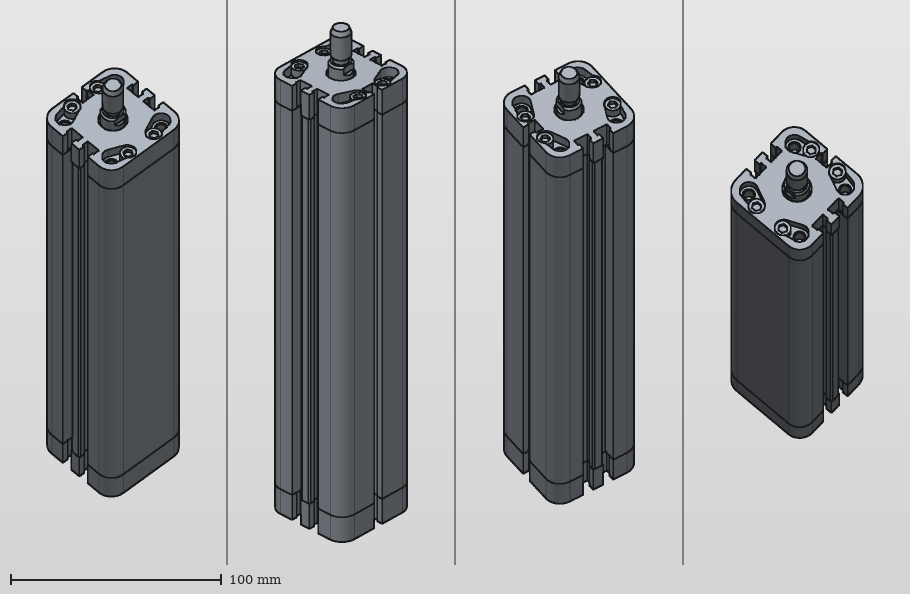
import cadquery as cq
import math

TOTAL_HEIGHT = 269.5
BODY_HEIGHT = 244.0
CAP_HEIGHT = 14.0
TUBE_HEIGHT = BODY_HEIGHT - 2 * CAP_HEIGHT
TOP_CAP_Z = BODY_HEIGHT - CAP_HEIGHT

WIDTH = 49.0
HALF_WIDTH = WIDTH / 2
CORNER_RADIUS = 8.0

SLOT_DEPTH = 6.5
CAP_SLOT_CLEARANCE = 0.8
LIP_DEPTH = 3.2
RIB_WIDTH = 5.7
RIB_HALF_WIDTH = RIB_WIDTH / 2
RIB_STEM_HALF_WIDTH = 1.75
SLOT_OUTER = 8.5
SIDE_SLOT_HALF_WIDTH = 2.7
SIDE_SLOT_INNER_HALF_WIDTH = 3.5
RIB_CHAMFER = 0.8

POCKET_DEPTH = 5.5
HOLE_OFFSET = 16.2
HOLE_POCKET_DIAMETER = 9.0
HOLE_DIAMETER = 4.9
HOLE_CHAMFER = 0.5
CHANNEL_END_X = 18.5
CHANNEL_END_DIAMETER = 7.0
SCREW_X = 19.5
SCREW_Y = 8.4
SCREW_HEAD_DIAMETER = 7.8
SCREW_HEAD_HEIGHT = 4.3
SOCKET_ACROSS_FLATS = 4.0
SOCKET_DEPTH = 2.0

ROD_DIAMETER = 12.0
ROD_SHOULDER_Z = 250.6
ROD_CHAMFER = 1.0
FLATS_WIDTH = 10.0
FLATS_BOTTOM_Z = BODY_HEIGHT + 2.7
THREAD_DIAMETER = 10.0
NECK_DIAMETER = 7.8
THREAD_BOTTOM_Z = 253.0
THREAD_RUNOUT = 0.8
TIP_CHAMFER_HEIGHT = 2.7
TIP_DIAMETER = 7.8
ROD_RECESS_DIAMETER = 14.0
ROD_RECESS_DEPTH = 1.5


def extruded_box(x_min, x_max, y_min, y_max, height):
    """A block between two corners, standing on Z = 0."""
    return cq.Workplane("XY").box(x_max - x_min, y_max - y_min, height, centered=False).translate(
        (x_min, y_min, 0)
    )


def y_side_slot(height, clearance):
    """One undercut slot on the +X half of the +Y side; its inner edge shapes the middle rib."""
    opening = extruded_box(RIB_HALF_WIDTH, SLOT_OUTER, HALF_WIDTH - SLOT_DEPTH, HALF_WIDTH, height)
    undercut = extruded_box(
        RIB_STEM_HALF_WIDTH,
        SLOT_OUTER + clearance,
        HALF_WIDTH - SLOT_DEPTH,
        HALF_WIDTH - LIP_DEPTH,
        height,
    )
    return opening.union(undercut)


def x_side_slot(height, clearance):
    """The single T-slot on the -X side."""
    floor_x = SLOT_DEPTH + clearance - HALF_WIDTH
    opening = extruded_box(-HALF_WIDTH, floor_x, -SIDE_SLOT_HALF_WIDTH, SIDE_SLOT_HALF_WIDTH, height)
    undercut = extruded_box(
        LIP_DEPTH - HALF_WIDTH,
        floor_x,
        -SIDE_SLOT_INNER_HALF_WIDTH,
        SIDE_SLOT_INNER_HALF_WIDTH,
        height,
    )
    return opening.union(undercut)


def profile_block(height, slot_clearance=0):
    """The slotted square bar shared by the tube and both caps."""
    block = cq.Workplane("XY").rect(WIDTH, WIDTH).extrude(height).edges("|Z").fillet(CORNER_RADIUS)
    slot = y_side_slot(height, slot_clearance)
    for y_slot in (slot, slot.mirror("XZ")):
        block = block.cut(y_slot).cut(y_slot.mirror("YZ"))
    return block.cut(x_side_slot(height, slot_clearance))


def make_tube():
    """Slotted tube whose two middle ribs have chamfered tips."""
    tube = profile_block(TUBE_HEIGHT)
    rib_reach = RIB_HALF_WIDTH + RIB_CHAMFER
    for side in (-1, 1):
        rib_tip = cq.selectors.BoxSelector(
            (-rib_reach, side * HALF_WIDTH - RIB_CHAMFER, 0),
            (rib_reach, side * HALF_WIDTH + RIB_CHAMFER, TUBE_HEIGHT),
        )
        tube = tube.edges(rib_tip).edges("|Z").chamfer(RIB_CHAMFER)
    return tube.translate((0, 0, CAP_HEIGHT))


def make_bottom_cap():
    return profile_block(CAP_HEIGHT, CAP_SLOT_CLEARANCE)


def arc_point(center, radius, angle):
    return (center[0] + radius * math.cos(angle), center[1] + radius * math.sin(angle))


def pocket_channel():
    """Tapered channel between two round ends, from the hole towards the screw, going down from Z = 0."""
    hole_end = (HOLE_OFFSET, HOLE_OFFSET)
    hole_end_radius = HOLE_POCKET_DIAMETER / 2
    screw_end = (CHANNEL_END_X, SCREW_Y)
    screw_end_radius = CHANNEL_END_DIAMETER / 2
    run_x = screw_end[0] - hole_end[0]
    run_y = screw_end[1] - hole_end[1]
    direction = math.atan2(run_y, run_x)
    spread = math.acos((hole_end_radius - screw_end_radius) / math.hypot(run_x, run_y))
    left = direction + spread
    right = direction - spread
    return (
        cq.Workplane("XY")
        .moveTo(*arc_point(hole_end, hole_end_radius, left))
        .threePointArc(
            arc_point(hole_end, hole_end_radius, direction + math.pi),
            arc_point(hole_end, hole_end_radius, right),
        )
        .lineTo(*arc_point(screw_end, screw_end_radius, right))
        .threePointArc(
            arc_point(screw_end, screw_end_radius, direction),
            arc_point(screw_end, screw_end_radius, left),
        )
        .close()
        .extrude(-POCKET_DEPTH)
    )


def screw_head():
    """Screw head without its socket, standing on the pocket floor."""
    return (
        cq.Workplane("XY", origin=(SCREW_X, SCREW_Y, -POCKET_DEPTH))
        .circle(SCREW_HEAD_DIAMETER / 2)
        .extrude(SCREW_HEAD_HEIGHT)
    )


def screw_recess():
    """Round recess above the screw head, with the hexagon socket below it."""
    recess_depth = POCKET_DEPTH - SCREW_HEAD_HEIGHT
    recess = (
        cq.Workplane("XY", origin=(SCREW_X, SCREW_Y, 0))
        .circle(SCREW_HEAD_DIAMETER / 2)
        .extrude(-recess_depth)
    )
    socket = (
        cq.Workplane("XY", origin=(SCREW_X, SCREW_Y, 0))
        .polygon(6, SOCKET_ACROSS_FLATS, circumscribed=True)
        .extrude(-recess_depth - SOCKET_DEPTH)
    )
    return recess.union(socket)


def threaded_hole():
    """Chamfered hole from the pocket floor through the rest of the cap."""
    depth = CAP_HEIGHT - POCKET_DEPTH
    radius = HOLE_DIAMETER / 2
    return (
        cq.Workplane("XZ")
        .polyline(
            [
                (0, 0),
                (radius + HOLE_CHAMFER, 0),
                (radius, -HOLE_CHAMFER),
                (radius, -depth),
                (0, -depth),
            ]
        )
        .close()
        .revolve(360, (0, 0, 0), (0, 1, 0))
        .translate((HOLE_OFFSET, HOLE_OFFSET, -POCKET_DEPTH))
    )


def corner_pocket():
    """Everything cut from the (+X, +Y) corner; the screw head stays standing in the channel."""
    return pocket_channel().cut(screw_head()).union(screw_recess()).union(threaded_hole())


def four_corners(shape):
    """The shape and its mirror images in all four corners."""
    pair = [shape, shape.mirror("YZ")]
    return pair + [half.mirror("XZ") for half in pair]


def make_top_cap():
    cap = profile_block(CAP_HEIGHT, CAP_SLOT_CLEARANCE).translate((0, 0, -CAP_HEIGHT))
    for pocket in four_corners(corner_pocket()):
        cap = cap.cut(pocket)
    rod_bore = cq.Workplane("XY").circle(ROD_DIAMETER / 2).extrude(-CAP_HEIGHT)
    rod_recess = cq.Workplane("XY").circle(ROD_RECESS_DIAMETER / 2).extrude(-ROD_RECESS_DEPTH)
    return cap.cut(rod_bore).cut(rod_recess).translate((0, 0, BODY_HEIGHT))


def make_rod():
    """Rod through the top cap, with a threaded end and two wrench flats."""
    rod_radius = ROD_DIAMETER / 2
    neck_radius = NECK_DIAMETER / 2
    thread_radius = THREAD_DIAMETER / 2
    tip_radius = TIP_DIAMETER / 2
    rod = (
        cq.Workplane("XZ")
        .polyline(
            [
                (0, TOP_CAP_Z),
                (rod_radius, TOP_CAP_Z),
                (rod_radius, ROD_SHOULDER_Z - ROD_CHAMFER),
                (rod_radius - ROD_CHAMFER, ROD_SHOULDER_Z),
                (neck_radius, ROD_SHOULDER_Z),
                (neck_radius, THREAD_BOTTOM_Z),
                (thread_radius, THREAD_BOTTOM_Z + THREAD_RUNOUT),
                (thread_radius, TOTAL_HEIGHT - TIP_CHAMFER_HEIGHT),
                (tip_radius, TOTAL_HEIGHT),
                (0, TOTAL_HEIGHT),
            ]
        )
        .close()
        .revolve(360, (0, 0, 0), (0, 1, 0))
    )
    flat_x = FLATS_WIDTH / 2
    flat_depth = rod_radius - flat_x
    flat_cutter = (
        cq.Workplane("XZ")
        .polyline(
            [
                (flat_x, ROD_SHOULDER_Z),
                (flat_x, FLATS_BOTTOM_Z),
                (rod_radius, FLATS_BOTTOM_Z - flat_depth),
                (rod_radius, ROD_SHOULDER_Z),
            ]
        )
        .close()
        .extrude(rod_radius, both=True)
    )
    return rod.cut(flat_cutter).cut(flat_cutter.mirror("YZ"))


bottom_cap = make_bottom_cap()
tube = make_tube()
top_cap = make_top_cap()
rod = make_rod()

result = cq.Compound.makeCompound([bottom_cap.val(), tube.val(), top_cap.val(), rod.val()])